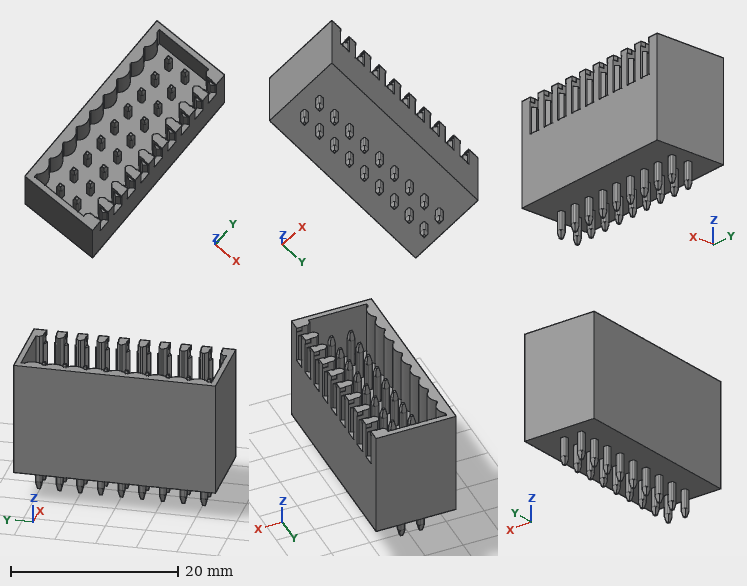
import cadquery as cq

BODY_X = 10.5
BODY_Y = 24.82
BODY_Z = 14.2
LEFT_WALL = 0.95
RIGHT_WALL = 1.94
END_WALL = 0.7
CAVITY_DEPTH = 7.15

POLES = 9
ROW_SPAN = 20.3
PITCH = ROW_SPAN / (POLES - 1)
FIRST_COLUMN = 3.67

SCALLOP_CHORD = 2.28
SCALLOP_RISE = 0.57

SLOT_WIDTH = 1.51
MOUTH_DEPTH = 0.4
MOUTH_WIDTH = 2.28
SILL_THICKNESS = 0.72
SILL_HEIGHT = 2.25

NUB_HEIGHT = 0.6
NUB_RISE = 0.07
RIB_RISE = 0.35
RIB_FRONT = 0.6
RIB_BACK = 0.47
RIB_DROP = 1.25

PIN_WIDTH = 0.8
PIN_RADIUS = 0.2
PIN_TIP_WIDTH = 0.32
PIN_TOP_DROP = 2.15
PIN_TAIL = 3.5
TOP_TAPER = 1.15
TAIL_TAPER = 1.02

FLOOR_Z = BODY_Z - CAVITY_DEPTH
OUTER_LEFT = -BODY_X / 2
OUTER_RIGHT = BODY_X / 2
CAVITY_LEFT = OUTER_LEFT + LEFT_WALL
CAVITY_RIGHT = OUTER_RIGHT - RIGHT_WALL
SILL_X = OUTER_RIGHT - SILL_THICKNESS
SILL_Z = FLOOR_Z + SILL_HEIGHT
COLUMNS = [OUTER_LEFT + FIRST_COLUMN + i * PITCH for i in range(2)]
ROWS = [(i - (POLES - 1) / 2) * PITCH for i in range(POLES)]


def block(x0, x1, y0, y1, z0, z1):
    """Axis-aligned box between two corners."""
    return cq.Workplane("XY").box(x1 - x0, y1 - y0, z1 - z0, centered=False).translate((x0, y0, z0))


def scallop(y):
    """Round bulge on the left wall, running the full cavity depth."""
    half = SCALLOP_CHORD / 2
    return (
        cq.Workplane("XY", origin=(CAVITY_LEFT, y, FLOOR_Z))
        .moveTo(0, -half)
        .threePointArc((SCALLOP_RISE, 0), (0, half))
        .lineTo(-LEFT_WALL / 2, half)
        .lineTo(-LEFT_WALL / 2, -half)
        .close()
        .extrude(CAVITY_DEPTH)
    )


def slot(y):
    """Gap through the right wall: open above the sill, closed outside below it."""
    mouth_end = CAVITY_RIGHT + MOUTH_DEPTH
    inner = (
        cq.Workplane("XY", origin=(0, y, FLOOR_Z))
        .polyline([
            (CAVITY_RIGHT, -MOUTH_WIDTH / 2),
            (mouth_end, -SLOT_WIDTH / 2),
            (SILL_X, -SLOT_WIDTH / 2),
            (SILL_X, SLOT_WIDTH / 2),
            (mouth_end, SLOT_WIDTH / 2),
            (CAVITY_RIGHT, MOUTH_WIDTH / 2),
        ])
        .close()
        .extrude(CAVITY_DEPTH)
    )
    outer = block(SILL_X, OUTER_RIGHT, y - SLOT_WIDTH / 2, y + SLOT_WIDTH / 2, SILL_Z, BODY_Z)
    return inner.union(outer)


def cheek_details(y, side):
    """Nub at the top and triangular rib below it, on one cheek (side = +1 or -1) of a slot."""
    cheek = y + side * SLOT_WIDTH / 2
    nub_y0, nub_y1 = sorted((cheek, cheek - side * NUB_RISE))
    nub = block(SILL_X, OUTER_RIGHT, nub_y0, nub_y1, BODY_Z - NUB_HEIGHT, BODY_Z)
    rib = (
        cq.Workplane("XY", origin=(SILL_X, cheek, FLOOR_Z))
        .polyline([(-RIB_FRONT, 0), (0, -side * RIB_RISE), (RIB_BACK, 0)])
        .close()
        .extrude(CAVITY_DEPTH - RIB_DROP)
    )
    return nub.union(rib)


def pin():
    """Contact pin on the Z axis: a rounded square wire trimmed to a taper at both ends, in X and in Y."""
    top = BODY_Z - PIN_TOP_DROP
    half = PIN_WIDTH / 2
    tip = PIN_TIP_WIDTH / 2
    outline = [
        (-tip, -PIN_TAIL),
        (tip, -PIN_TAIL),
        (half, TAIL_TAPER - PIN_TAIL),
        (half, top - TOP_TAPER),
        (tip, top),
        (-tip, top),
        (-half, top - TOP_TAPER),
        (-half, TAIL_TAPER - PIN_TAIL),
    ]
    wire = (
        cq.Workplane("XY", origin=(0, 0, -PIN_TAIL))
        .rect(PIN_WIDTH, PIN_WIDTH)
        .extrude(top + PIN_TAIL)
        .edges("|Z")
        .fillet(PIN_RADIUS)
    )
    for plane in ("XZ", "YZ"):
        wire = wire.intersect(cq.Workplane(plane).polyline(outline).close().extrude(half, both=True))
    return wire


cavity_half = BODY_Y / 2 - END_WALL
result = block(OUTER_LEFT, OUTER_RIGHT, -BODY_Y / 2, BODY_Y / 2, 0, BODY_Z)
result = result.cut(block(CAVITY_LEFT, CAVITY_RIGHT, -cavity_half, cavity_half, FLOOR_Z, BODY_Z))

contact = pin()
for row in ROWS:
    result = result.cut(slot(row)).union(scallop(row))
    for cheek_side in (-1, 1):
        result = result.union(cheek_details(row, cheek_side))
    for column in COLUMNS:
        result = result.union(contact.translate((column, row, 0)))